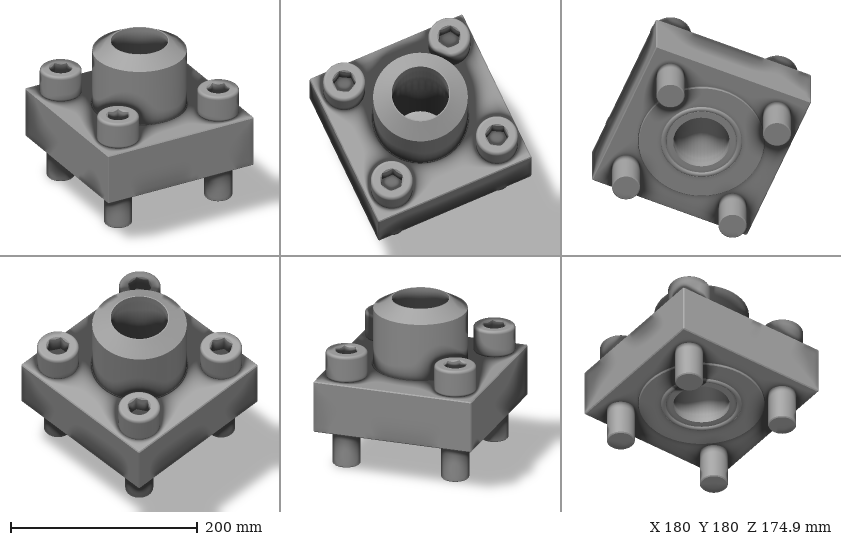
import cadquery as cq
import math

plate_side = 180.0
plate_thickness = 58.0
plate_chamfer = 1.0
neck_hole_dia = 103.0
neck_hole_chamfer = 1.0
collar_recess_dia = 136.0
collar_recess_depth = 20.0
screw_spacing = 123.7
screw_hole_dia = 31.0

neck_top = 74.9
neck_dia = 101.5
neck_bevel_angle = 30.0
neck_bevel_top_dia = 63.7
hub_dia = 102.5
collar_dia = 135.0
collar_chamfer = 0.7
collar_projection = 2.0
mouth_dia = 61.5
mouth_depth = 37.5
bore_dia = 60.5
bore_taper_length = 36.0

groove_inner_dia = 75.6
groove_outer_dia = 87.3
seal_projection = 1.8
seal_section_dia = (groove_outer_dia - groove_inner_dia) / 2
groove_depth = seal_section_dia - seal_projection

shank_dia = 30.0
shank_length = 100.0
shank_chamfer = 1.0
head_dia = 45.0
head_height = 30.0
head_top_fillet = 3.2
head_bottom_fillet = 2.7
socket_corner_dia = 25.4
socket_sides = 6
socket_turn = 180 / socket_sides
socket_depth = 18.0
socket_countersink_angle = 45.0

plate_bottom = -plate_thickness
collar_top = plate_bottom + collar_recess_depth
collar_bottom = plate_bottom - collar_projection


def screw_places():
    """Each screw centre, with the angle of its hexagon socket."""
    half = screw_spacing / 2
    return [
        (-half, -half, 0.0),
        (half, -half, socket_turn),
        (half, half, 0.0),
        (-half, half, socket_turn),
    ]


def make_plate():
    """Square plate with a neck hole, a collar recess underneath and four screw holes."""
    block = (
        cq.Workplane("XY")
        .box(plate_side, plate_side, plate_thickness, centered=(True, True, False))
        .translate((0, 0, plate_bottom))
        .edges()
        .chamfer(plate_chamfer)
    )
    top_face = cq.Workplane("XY")
    neck_hole = top_face.circle(neck_hole_dia / 2).extrude(plate_bottom)
    hole_rim = (
        top_face.circle(neck_hole_dia / 2 + neck_hole_chamfer)
        .workplane(offset=-neck_hole_chamfer)
        .circle(neck_hole_dia / 2)
        .loft()
    )
    recess = (
        cq.Workplane("XY", origin=(0, 0, plate_bottom))
        .circle(collar_recess_dia / 2)
        .extrude(collar_recess_depth)
    )
    screw_holes = (
        top_face.pushPoints([(x, y) for x, y, _ in screw_places()])
        .circle(screw_hole_dia / 2)
        .extrude(plate_bottom)
    )
    return block.cut(neck_hole).cut(hole_rim).cut(recess).cut(screw_holes)


def make_neck():
    """Bored neck with a bevelled end, a collar and a seal groove."""
    bevel_height = (neck_dia - neck_bevel_top_dia) / 2 * math.tan(math.radians(neck_bevel_angle))
    taper_top = neck_top - mouth_depth
    body = (
        cq.Workplane("XZ")
        .moveTo(bore_dia / 2, collar_bottom)
        .lineTo(collar_dia / 2 - collar_chamfer, collar_bottom)
        .lineTo(collar_dia / 2, collar_bottom + collar_chamfer)
        .lineTo(collar_dia / 2, collar_top)
        .lineTo(hub_dia / 2, collar_top)
        .lineTo(hub_dia / 2, 0)
        .lineTo(neck_dia / 2, 0)
        .lineTo(neck_dia / 2, neck_top - bevel_height)
        .lineTo(neck_bevel_top_dia / 2, neck_top)
        .lineTo(mouth_dia / 2, neck_top)
        .lineTo(mouth_dia / 2, taper_top)
        .lineTo(bore_dia / 2, taper_top - bore_taper_length)
        .close()
        .revolve(360, (0, 0), (0, 1))
    )
    groove = (
        cq.Workplane("XY", origin=(0, 0, collar_bottom))
        .circle(groove_outer_dia / 2)
        .circle(groove_inner_dia / 2)
        .extrude(groove_depth)
    )
    return body.cut(groove)


def make_seal_ring():
    """Round-section ring seated against the groove floor."""
    ring_radius = (groove_inner_dia + groove_outer_dia) / 4
    ring_height = collar_bottom + groove_depth - seal_section_dia / 2
    return (
        cq.Workplane("XZ")
        .center(ring_radius, ring_height)
        .circle(seal_section_dia / 2)
        .revolve(360, (-ring_radius, 0), (-ring_radius, 1))
    )


def make_screw(x, y, socket_angle):
    """Socket head screw whose head rests on the top face of the plate."""
    shank = (
        cq.Workplane("XY")
        .circle(shank_dia / 2)
        .extrude(-shank_length)
        .faces("<Z")
        .chamfer(shank_chamfer)
    )
    head = (
        cq.Workplane("XY")
        .circle(head_dia / 2)
        .extrude(head_height)
        .faces(">Z")
        .edges()
        .fillet(head_top_fillet)
        .faces("<Z")
        .edges()
        .fillet(head_bottom_fillet)
    )
    socket = (
        cq.Workplane("XY", origin=(0, 0, head_height))
        .polygon(socket_sides, socket_corner_dia)
        .extrude(-socket_depth)
        .rotate((0, 0, 0), (0, 0, 1), socket_angle)
    )
    across_flats = socket_corner_dia * math.cos(math.pi / socket_sides)
    countersink_depth = (socket_corner_dia - across_flats) / 2 * math.tan(
        math.radians(socket_countersink_angle)
    )
    countersink = (
        cq.Workplane("XY", origin=(0, 0, head_height))
        .circle(socket_corner_dia / 2)
        .workplane(offset=-countersink_depth)
        .circle(across_flats / 2)
        .loft()
    )
    return head.union(shank).cut(socket).cut(countersink).translate((x, y, 0))


plate = make_plate()
neck = make_neck()
seal_ring = make_seal_ring()
screws = [make_screw(x, y, angle) for x, y, angle in screw_places()]

result = cq.Compound.makeCompound(
    [plate.val(), neck.val(), seal_ring.val(), *[screw.val() for screw in screws]]
)